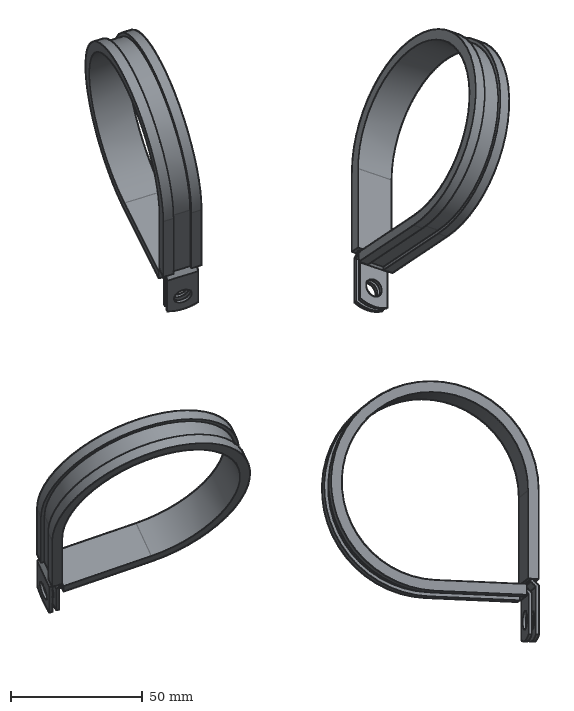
import cadquery as cq
import math

loop_radius = 40.7
cushion_thickness = 4.2
cushion_width = 15.8
vertical_leg_end_z = -34.3
horizontal_leg_end_x = 36.0

strap_thickness = 1.3
strap_width = 12.7
groove_depth = 1.5
groove_width = 7.3
strap_radius = loop_radius - groove_depth

outer_tab_x = 41.2
tab_gap = 1.6
inner_tab_x = outer_tab_x - strap_thickness - tab_gap
tab_bottom_z = -57.1
outer_jog_start_z = -34.7
inner_jog_start_x = 36.7
tab_end_bulge = 1.5
hole_diameter = 7.2
hole_height = 8.0


def loop_region(radius):
    """Area bounded by a three-quarter arc and the two tangent legs, out to their corner."""
    return (
        cq.Sketch()
        .circle(radius)
        .push([(radius / 2, -radius / 2)])
        .rect(radius, radius)
        .clean()
    )


def loop_band(outer_radius, thickness, width):
    """Band following the loop, with its corner cut away to leave two open legs."""
    band = (
        cq.Workplane("XZ")
        .placeSketch(loop_region(outer_radius))
        .extrude(width / 2, both=True)
    )
    opening = (
        cq.Workplane("XZ")
        .placeSketch(loop_region(outer_radius - thickness))
        .extrude(width, both=True)
    )
    corner = (
        cq.Workplane("XZ")
        .moveTo(horizontal_leg_end_x, vertical_leg_end_z)
        .rect(loop_radius, -loop_radius, centered=False)
        .extrude(width, both=True)
    )
    return band.cut(opening).cut(corner)


def strap_end(profile):
    """Bent end of the strap from its side profile."""
    return cq.Workplane("XZ").polyline(profile).close().extrude(strap_width / 2, both=True)


def outer_strap_end():
    jog = outer_tab_x - strap_radius
    jog_end_z = outer_jog_start_z - jog
    inside_x = outer_tab_x - strap_thickness
    return strap_end([
        (strap_radius, vertical_leg_end_z),
        (strap_radius, outer_jog_start_z),
        (outer_tab_x, jog_end_z),
        (outer_tab_x, tab_bottom_z),
        (inside_x, tab_bottom_z),
        (inside_x, jog_end_z - bend_shift),
        (strap_radius - strap_thickness, outer_jog_start_z - bend_shift),
        (strap_radius - strap_thickness, vertical_leg_end_z),
    ])


def inner_strap_end():
    top_z = strap_thickness - strap_radius
    jog_end_z = top_z - (inner_tab_x - inner_jog_start_x)
    inside_x = inner_tab_x - strap_thickness
    return strap_end([
        (horizontal_leg_end_x, top_z),
        (inner_jog_start_x, top_z),
        (inner_tab_x, jog_end_z),
        (inner_tab_x, tab_bottom_z),
        (inside_x, tab_bottom_z),
        (inside_x, jog_end_z - bend_shift),
        (inner_jog_start_x - bend_shift, -strap_radius),
        (horizontal_leg_end_x, -strap_radius),
    ])


def tab_outline():
    """Envelope that rounds the bottom of both tabs."""
    shoulder_z = tab_bottom_z + tab_end_bulge
    half_width = strap_width / 2
    return (
        cq.Workplane("YZ")
        .moveTo(-half_width, 0)
        .lineTo(-half_width, shoulder_z)
        .threePointArc((0, tab_bottom_z), (half_width, shoulder_z))
        .lineTo(half_width, 0)
        .close()
        .extrude(outer_tab_x)
    )


bend_shift = strap_thickness * math.tan(math.radians(45 / 2))

cushion = loop_band(loop_radius, cushion_thickness, cushion_width)
groove = loop_band(loop_radius, groove_depth, groove_width)

hole = (
    cq.Workplane("YZ")
    .center(0, tab_bottom_z + hole_height)
    .circle(hole_diameter / 2)
    .extrude(outer_tab_x)
)
tabs = outer_strap_end().union(inner_strap_end()).intersect(tab_outline()).cut(hole)

result = cushion.cut(groove).union(tabs)